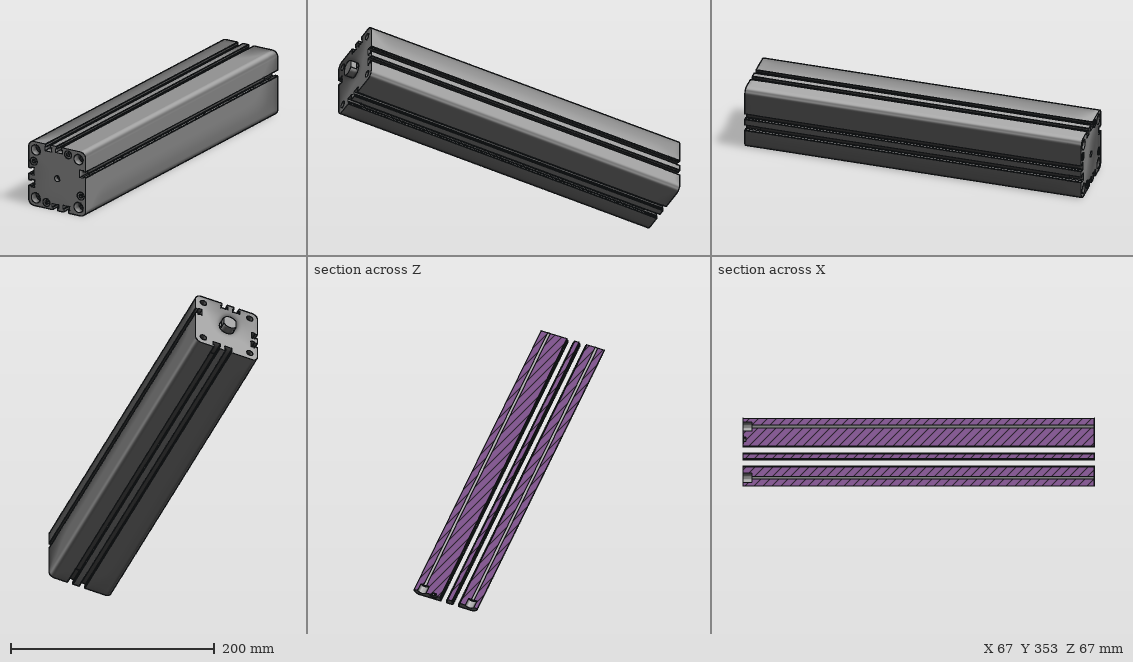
import cadquery as cq

SIDE = 67.0
TOTAL_LENGTH = 353.0
ROD_EXTENSION = 8.0
BODY_LENGTH = TOTAL_LENGTH - ROD_EXTENSION
CAP_LENGTH = 14.0
CORNER_RADIUS = 6.5
HALF_SIDE = SIDE / 2
BODY_BACK = TOTAL_LENGTH / 2 - ROD_EXTENSION
BODY_FRONT = BODY_BACK - BODY_LENGTH

SLOT_OPENING = 5.5
CAP_SLOT_BEVEL = 0.53
TUBE_SLOT_BEVEL = 0.5
SLOT_UNDERCUT = 7.8
OUTER_SLOT_OFFSET = -10.5
OUTER_SLOT_LIP = 3.2
OUTER_SLOT_CAP_DEPTH = 7.0
OUTER_SLOT_TUBE_DEPTH = 6.5
INNER_SLOT_OFFSET = 2.0
INNER_SLOT_LIP = 3.0
INNER_SLOT_DEPTH = 6.5
SIDE_TURNS = (0, 90, 180, 270)
SIDE_WITHOUT_INNER_SLOT = 270

MOUNT_SPACING = 50.0
MOUNT_HOLE_DIAMETER = 6.7
COUNTERBORE_DIAMETER = 10.5
COUNTERBORE_DEPTH = 9.0

SCREW_DIAMETER = 8.0
SCREW_RECESS = 0.5
SCREW_OFFSET = 12.7
SCREW_RADIAL = 27.5
SOCKET_DIAMETER = 4.2
SOCKET_DEPTH = 3.0

CENTRE_HOLE_DIAMETER = 6.0
CENTRE_HOLE_DEPTH = 5.3

ROD_DIAMETER = 16.0
ROD_FLAT_WIDTH = 13.5
ROD_COLLAR = 0.7
ROD_SHOULDER_LENGTH = 1.5
ROD_CHAMFER_LENGTH = 1.5
ROD_CHAMFER_DEPTH = 0.5


def section_plane(y):
    """Plane across the body at y, with local x along X, local y along Z and its normal along -Y."""
    return cq.Workplane("XZ", origin=(0, y, 0))


def turned(shape, angle):
    """Turn a shape about the long axis, from the top side towards the -X side."""
    return shape.rotate((0, 0, 0), (0, -1, 0), angle)


def t_slot(offset, bevel, lip, depth, back, length):
    """Cutter for a T-slot with a bevelled mouth in the top side."""
    half_opening = SLOT_OPENING / 2
    half_undercut = SLOT_UNDERCUT / 2
    right_side = [
        (half_opening + bevel, HALF_SIDE),
        (half_opening, HALF_SIDE - bevel),
        (half_opening, HALF_SIDE - lip),
        (half_undercut, HALF_SIDE - lip),
        (half_undercut, HALF_SIDE - depth),
    ]
    left_side = [(-x, z) for x, z in reversed(right_side)]
    return section_plane(back).center(offset, 0).polyline(right_side + left_side).close().extrude(length)


def profile_length(back, length, slot_bevel, outer_slot_depth):
    """One stretch of the slotted square profile."""
    stretch = section_plane(back).rect(SIDE, SIDE).extrude(length).edges("|Y").fillet(CORNER_RADIUS)
    outer_slot = t_slot(OUTER_SLOT_OFFSET, slot_bevel, OUTER_SLOT_LIP, outer_slot_depth, back, length)
    inner_slot = t_slot(INNER_SLOT_OFFSET, slot_bevel, INNER_SLOT_LIP, INNER_SLOT_DEPTH, back, length)
    for turn in SIDE_TURNS:
        stretch = stretch.cut(turned(outer_slot, turn))
        if turn != SIDE_WITHOUT_INNER_SLOT:
            stretch = stretch.cut(turned(inner_slot, turn))
    return stretch


def front_drill(diameter, depth, points):
    """Cutter for round holes sunk from the front face."""
    return section_plane(BODY_FRONT + depth).pushPoints(points).circle(diameter / 2).extrude(depth)


def screw_recess():
    """Cutter for the sunk head and hexagon socket of the screw beside the top side."""
    head = front_drill(SCREW_DIAMETER, SCREW_RECESS, [(SCREW_OFFSET, SCREW_RADIAL)])
    socket = (
        section_plane(BODY_FRONT + SOCKET_DEPTH)
        .center(SCREW_OFFSET, SCREW_RADIAL)
        .transformed(rotate=(0, 0, 90))
        .polygon(6, SOCKET_DIAMETER)
        .extrude(SOCKET_DEPTH)
    )
    return head.union(socket)


def piston_rod():
    """Rod end with a chamfered tip and two wrench flats that slope out to a round collar."""
    tip = TOTAL_LENGTH / 2
    radius = ROD_DIAMETER / 2
    half_flats = ROD_FLAT_WIDTH / 2
    collar_end = BODY_BACK + ROD_COLLAR
    flats_end = collar_end + ROD_SHOULDER_LENGTH
    rod = section_plane(tip).circle(radius).extrude(ROD_EXTENSION)
    rod = rod.faces(">Y").chamfer(ROD_CHAMFER_LENGTH, ROD_CHAMFER_DEPTH)
    outline = [
        (-radius, BODY_BACK),
        (radius, BODY_BACK),
        (radius, collar_end),
        (half_flats, flats_end),
        (half_flats, tip),
        (-half_flats, tip),
        (-half_flats, flats_end),
        (-radius, collar_end),
    ]
    flatted_block = cq.Workplane("XY").polyline(outline).close().extrude(radius, both=True)
    return rod.intersect(flatted_block)


tube_length = BODY_LENGTH - 2 * CAP_LENGTH
tube_back = BODY_BACK - CAP_LENGTH
back_cap = profile_length(BODY_BACK, CAP_LENGTH, CAP_SLOT_BEVEL, OUTER_SLOT_CAP_DEPTH)
tube = profile_length(tube_back, tube_length, TUBE_SLOT_BEVEL, OUTER_SLOT_TUBE_DEPTH)
front_cap = profile_length(tube_back - tube_length, CAP_LENGTH, CAP_SLOT_BEVEL, OUTER_SLOT_CAP_DEPTH)
result = tube.union(back_cap, clean=False).union(front_cap, clean=False)

half_spacing = MOUNT_SPACING / 2
mount_points = [(x, z) for x in (-half_spacing, half_spacing) for z in (-half_spacing, half_spacing)]
result = result.cut(front_drill(MOUNT_HOLE_DIAMETER, BODY_LENGTH, mount_points), clean=False)
result = result.cut(front_drill(COUNTERBORE_DIAMETER, COUNTERBORE_DEPTH, mount_points), clean=False)
result = result.cut(front_drill(CENTRE_HOLE_DIAMETER, CENTRE_HOLE_DEPTH, [(0, 0)]), clean=False)
for turn in SIDE_TURNS:
    result = result.cut(turned(screw_recess(), turn), clean=False)

result = result.union(piston_rod(), clean=False)